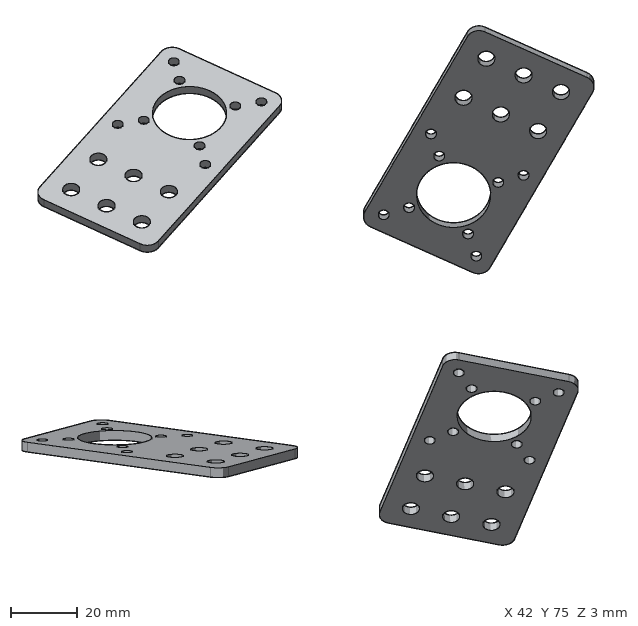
import cadquery as cq

length = 75.0
width = 42.0
thickness = 3.0
corner_radius = 3.9

bore_y = 16.5
bore_diameter = 22.1
screw_diameter = 3.2
inner_screw_spacing = 19.8
outer_screw_spacing = 31.05

mount_diameter = 5.1
mount_columns = 3
mount_rows = 2
mount_column_spacing = 12.5
mount_row_spacing = 15.0
mount_center_y = -22.0


def drill_grid(body, center_y, columns, rows, column_spacing, row_spacing, diameter):
    """Cut a rectangular grid of through holes centred on the plate width."""
    return (
        body.faces(">Z")
        .workplane(origin=(0, center_y, thickness))
        .rarray(column_spacing, row_spacing, columns, rows)
        .hole(diameter)
    )


plate = (
    cq.Workplane("XY")
    .box(width, length, thickness, centered=(True, True, False))
    .edges("|Z")
    .fillet(corner_radius)
)

plate = plate.faces(">Z").workplane(origin=(0, bore_y, thickness)).hole(bore_diameter)

for spacing in (inner_screw_spacing, outer_screw_spacing):
    plate = drill_grid(plate, bore_y, 2, 2, spacing, spacing, screw_diameter)

result = drill_grid(
    plate,
    mount_center_y,
    mount_columns,
    mount_rows,
    mount_column_spacing,
    mount_row_spacing,
    mount_diameter,
)